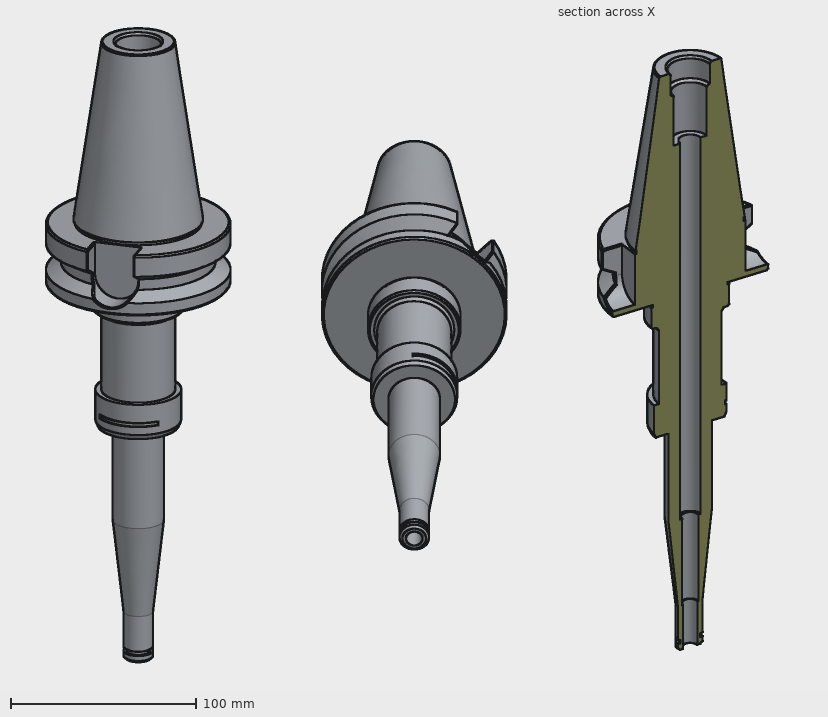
import cadquery as cq
import math

total_length = 357.8

tolerance = 0.05
cutter_overrun = 3.5

gauge_diameter = 70.0
taper_length = 103.0
taper_ratio = 7 / 24
taper_top_chamfer = 0.7
neck_diameter = 68.7
neck_length = 1.8
gauge_z = total_length - taper_length

flange_diameter = 100.0
flange_chamfer = 1.0
flange_thickness = 35.0
upper_lip_height = 12.0
lower_lip_height = 7.5
groove_diameter = 83.7
groove_floor_width = 6.0
flange_top_z = gauge_z - neck_length
flange_bottom_z = flange_top_z - flange_thickness

slot_width = 25.8
slot_edge_chamfer = 0.7
slot_depth = 31.0
slot_floor_distance = 35.5
slot_center_z = flange_top_z - slot_depth + slot_width / 2

collar_diameter = 50.0
collar_chamfer = 1.0
collar_length = 14.5
collar_cone_diameter = 43.3
collar_cone_length = 2.0
relief_diameter = 48.0
relief_length = 1.0
body_diameter = 40.0

ring_diameter = 46.5
ring_top_z = 156.0
ring_length = 20.5
ring_chamfer_length = 3.0
ring_bottom_diameter = 44.0
mark_width = 2.0
mark_depth = 0.7
mark_top_offset = 10.7
mark_sweep = 92.0

extension_diameter = 28.0
extension_cone_top_z = 80.5
extension_cone_bottom_z = 27.2
nose_diameter = 16.0
nose_groove_diameter = 13.0
nose_groove_top_z = 6.8
nose_groove_floor_z = 6.0
nose_lip_top_z = 4.3
nose_lip_bottom_z = 1.5

bore_mouth_diameter = 27.0
bore_mouth_chamfer = 1.5
pilot_diameter = 24.7
pilot_depth = 13.5
thread_diameter = 20.8
thread_cone_length = 1.5
thread_depth = 45.0
channel_diameter = 13.0
narrow_channel_diameter = 10.0
outlet_diameter = 9.0


def revolve_profile(points):
    """Revolve (diameter, z) stations, closed along the axis, around Z."""
    outline = [(0, points[0][1])]
    outline += [(diameter / 2, z) for diameter, z in points]
    outline += [(0, points[-1][1])]
    return cq.Workplane("XZ").polyline(outline).close().revolve(360, (0, 0), (0, 1))


def make_body():
    """Solid of revolution from the shank down to the nose tip, without bore or slots."""
    taper_top_diameter = gauge_diameter - taper_ratio * taper_length
    groove_top_z = flange_top_z - upper_lip_height
    groove_bottom_z = flange_bottom_z + lower_lip_height
    groove_center_z = (groove_top_z + groove_bottom_z) / 2
    chamfered_flange_diameter = flange_diameter - 2 * flange_chamfer
    collar_bottom_z = flange_bottom_z - collar_length
    ring_bottom_z = ring_top_z - ring_length
    return revolve_profile([
        (taper_top_diameter - 2 * taper_top_chamfer, total_length),
        (taper_top_diameter, total_length - taper_top_chamfer),
        (gauge_diameter, gauge_z),
        (neck_diameter, gauge_z),
        (neck_diameter, flange_top_z),
        (chamfered_flange_diameter, flange_top_z),
        (flange_diameter, flange_top_z - flange_chamfer),
        (flange_diameter, groove_top_z),
        (groove_diameter, groove_center_z + groove_floor_width / 2),
        (groove_diameter, groove_center_z - groove_floor_width / 2),
        (flange_diameter, groove_bottom_z),
        (flange_diameter, flange_bottom_z + flange_chamfer),
        (chamfered_flange_diameter, flange_bottom_z),
        (relief_diameter, flange_bottom_z),
        (relief_diameter, flange_bottom_z - relief_length),
        (collar_diameter, flange_bottom_z - relief_length),
        (collar_diameter, collar_bottom_z + collar_chamfer),
        (collar_diameter - 2 * collar_chamfer, collar_bottom_z),
        (collar_cone_diameter, collar_bottom_z),
        (body_diameter, collar_bottom_z - collar_cone_length),
        (body_diameter, ring_top_z),
        (ring_diameter, ring_top_z),
        (ring_diameter, ring_bottom_z + ring_chamfer_length),
        (ring_bottom_diameter, ring_bottom_z),
        (extension_diameter, ring_bottom_z),
        (extension_diameter, extension_cone_top_z),
        (nose_diameter, extension_cone_bottom_z),
        (nose_diameter, nose_groove_top_z),
        (nose_groove_diameter, nose_groove_floor_z),
        (nose_groove_diameter, nose_lip_top_z),
        (nose_diameter, nose_lip_top_z),
        (nose_diameter, nose_lip_bottom_z),
        (nose_groove_diameter, 0),
    ])


def make_bore():
    """Stepped bore along the whole axis, narrowing from the shank end to the nose."""
    pilot_z = total_length - pilot_depth
    thread_z = total_length - thread_depth
    return revolve_profile([
        (bore_mouth_diameter, total_length),
        (pilot_diameter, total_length - bore_mouth_chamfer),
        (pilot_diameter, pilot_z),
        (thread_diameter, pilot_z - thread_cone_length),
        (thread_diameter, thread_z),
        (channel_diameter, thread_z),
        (channel_diameter, extension_cone_top_z),
        (narrow_channel_diameter, extension_cone_top_z),
        (narrow_channel_diameter, extension_cone_bottom_z),
        (outlet_diameter, extension_cone_bottom_z),
        (outlet_diameter, 0),
    ])


def make_drive_slots():
    """Two round-bottomed slots through the flange rim, on the +Y and -Y sides."""
    reach = flange_diameter / 2 - slot_floor_distance + cutter_overrun
    straight = gauge_z - slot_center_z
    slots = cq.Workplane("XY")
    for side in (-1, 1):
        middle_y = side * (slot_floor_distance + reach / 2)
        round_end = (
            cq.Workplane("XZ", origin=(0, middle_y, slot_center_z))
            .circle(slot_width / 2)
            .extrude(reach / 2, both=True)
        )
        walls = (
            cq.Workplane("XY", origin=(0, middle_y, slot_center_z + straight / 2))
            .box(slot_width, reach, straight)
        )
        slots = slots.add(round_end.union(walls))
    return slots.combine()


def make_ring_mark():
    """Shallow circumferential groove on the -Y side of the clamping ring."""
    floor_radius = ring_diameter / 2 - mark_depth
    outer_radius = ring_diameter / 2 + mark_depth
    bottom_z = ring_top_z - mark_top_offset - mark_width
    half_sweep = math.radians(mark_sweep / 2)
    start = (-math.sin(half_sweep), -math.cos(half_sweep))
    end = (math.sin(half_sweep), -math.cos(half_sweep))
    return (
        cq.Workplane("XY", origin=(0, 0, bottom_z))
        .moveTo(floor_radius * start[0], floor_radius * start[1])
        .threePointArc((0, -floor_radius), (floor_radius * end[0], floor_radius * end[1]))
        .lineTo(outer_radius * end[0], outer_radius * end[1])
        .threePointArc((0, -outer_radius), (outer_radius * start[0], outer_radius * start[1]))
        .close()
        .extrude(mark_width)
    )


def is_slot_seam(edge):
    """True for the smooth line where a flat slot wall runs into the round slot end."""
    box = edge.BoundingBox()
    return box.zlen < tolerance and abs(box.center.z - slot_center_z) < tolerance


def chamfer_slot_mouths(body):
    """Break the open edges of both drive slots, along the flange top and down the rim."""
    half_width = slot_width / 2 + tolerance
    mouth_depth = flange_diameter / 2 - slot_floor_distance
    mouth_edges = []
    for side in (-1, 1):
        near_y = side * (slot_floor_distance + tolerance)
        far_y = near_y + side * mouth_depth
        mouth = cq.selectors.BoxSelector(
            (-half_width, near_y, flange_top_z - slot_depth - tolerance),
            (half_width, far_y, flange_top_z + tolerance),
        )
        mouth_edges += [edge for edge in body.edges(mouth).vals() if not is_slot_seam(edge)]
    return body.newObject(mouth_edges).chamfer(slot_edge_chamfer)


body = make_body().cut(make_bore()).cut(make_drive_slots())
result = chamfer_slot_mouths(body).cut(make_ring_mark())